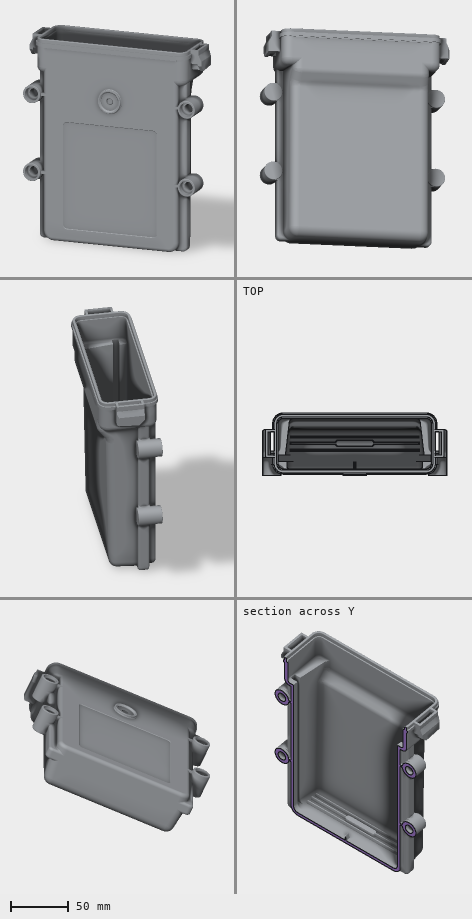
import cadquery as cq

height = 180.48
overall_width = 160.0
overall_depth = 54.44
boss_proud = 2.45
overlap = 1.0
bevel_share = 0.95

collar_half_width = 70.0
collar_depth = 50.8
collar_bottom_z = height - 31.0
collar_corner_radius = 8.0
collar_bottom_fillet = 5.5
lip_proud = overall_depth - boss_proud - collar_depth
lip_top_z = height - 3.4
lip_bottom_z = height - 6.6
strip_proud = 0.5
strip_bottom_z = height - 7.6
wall = 3.5
rim_wall = 2.3
rim_step_depth = 4.0
rim_edge_fillet = 0.6
collar_floor_fillet = 2.0

body_front_y = 10.0
body_top_z = height - 8.0
body_front_half_width = 64.3
body_back_half_width = 59.5
bulge_bottom_z = height - 37.0
slope_bottom_z = height - 47.0
body_back_y = 43.2
body_bottom_back_y = 40.7
body_back_fillet = 7.5
body_slope_fillet = 6.0

flange_half_width = 68.6
flange_front_y = 7.1
flange_back_y = 17.0
flange_corner_radius = 4.0
flange_edge_fillet = 2.1
panel_half_width = 62.2
panel_corner_radius = 8.5
panel_edge_fillet = 3.3
root_fillet = 1.0
cavity_front_fillet = 2.0
panel_top_z = height - 25.0
board_slot_half_width = 66.0
board_slot_front_y = 9.9
board_slot_back_y = 15.5

lug_radius = 8.0
lug_x = overall_width / 2 - lug_radius
lug_zs = (height - 119.9, height - 49.9)
lug_back_y = 18.7
lug_edge_fillet = 0.5
lug_counterbore_radius = 6.2
lug_counterbore_depth = 6.0
lug_hole_radius = 4.0
lug_hole_depth = 16.0
lug_rib_thickness = 2.2
lug_rib_inner_x = 58.5

boss_radius = 10.4
boss_base_radius = 11.1
boss_recess_radius = 8.0
boss_recess_depth = 2.0
boss_recess_chamfer = 1.2
boss_edge_fillet = 0.3
boss_z = lug_zs[1]
boss_hole_radius = 3.1
boss_pin_radius = 2.4
boss_hole_depth = 2.0
boss_pin_gap = 0.5

label_half_width = 43.6
label_bottom_z = height - 168.6
label_top_z = height - 72.2
label_corner_radius = 3.5
label_depth = 0.5

clip_front_y = 13.4
clip_back_y = 37.7
clip_web = 2.1
clip_inner_x = 72.9
clip_top_inner_x = 75.2
clip_top_x = 77.4
clip_hook_x = 77.0
clip_hip_z = height - 4.6
clip_knee_z = height - 9.8
clip_plate_bottom_z = height - 18.1
clip_hook_bottom_z = height - 19.4
clip_slant_drop = 1.4
clip_cut_y = 5.1
clip_cut_z = 5.5
clip_web_bottom_z = height - 12.3
clip_gusset_front_y = 16.7
clip_gusset_back_y = 19.0
clip_corner_chamfer = 1.5

floor_rib_ys = (19.7, 25.7, 31.2)
floor_rib_thickness = 2.0
rib_draft = 10.0
floor_rib_height = 3.0
pad_length = 34.0
pad_width = 6.0
post_width = 2.2
post_depth = 6.0
post_height = 5.0
post_embed = 2.0


def box(x0, x1, y0, y1, z0, z1):
    """Box between opposite corner coordinates."""
    return cq.Workplane("XY").box(x1 - x0, y1 - y0, z1 - z0, centered=False).translate((x0, y0, z0))


def centred_box(half_width, y0, y1, z0, z1):
    """Box symmetric about X = 0."""
    return box(-half_width, half_width, y0, y1, z0, z1)


def both_sides(shape):
    """The shape together with its mirror image across X = 0."""
    return shape.union(shape.mirror("YZ"))


def cylinder_y(radius, x, z, y0, y1):
    """Cylinder along Y between y0 and y1."""
    return cq.Workplane("XZ", origin=(x, y0, z)).circle(radius).extrude(y0 - y1)


def collar_block(inset, z0, z1):
    """Rounded block with the collar plan, shrunk by inset (negative grows)."""
    block = centred_box(collar_half_width - inset, inset, collar_depth - inset, z0, z1)
    return block.edges("|Z").fillet(collar_corner_radius - inset)


def rear_body(inset):
    """Tapered rear body, swelling out at the top to meet the back of the collar."""
    front = body_front_y
    side = (
        cq.Workplane("YZ")
        .moveTo(front, inset)
        .lineTo(body_bottom_back_y - inset, inset)
        .lineTo(body_back_y - inset, slope_bottom_z)
        .lineTo(collar_depth - inset, bulge_bottom_z)
        .lineTo(collar_depth - inset, body_top_z)
        .lineTo(front, body_top_z)
        .close()
        .extrude(collar_half_width, both=True)
    )
    plan = (
        cq.Workplane("XY")
        .moveTo(-body_front_half_width + inset, front)
        .lineTo(body_front_half_width - inset, front)
        .lineTo(body_back_half_width - inset, collar_depth)
        .lineTo(-body_back_half_width + inset, collar_depth)
        .close()
        .extrude(height)
    )
    slope_zone = cq.selectors.BoxSelector(
        (-collar_half_width, body_front_y + overlap, slope_bottom_z - overlap),
        (collar_half_width, collar_depth + overlap, bulge_bottom_z + overlap),
    )
    rounded_zone = cq.selectors.BoxSelector(
        (-collar_half_width, body_front_y + overlap, -overlap),
        (collar_half_width, collar_depth + overlap, body_top_z - overlap),
    )
    body = side.edges("|X").edges(slope_zone).fillet(body_slope_fillet).intersect(plan)
    return body.edges(rounded_zone).fillet(body_back_fillet - inset)


def front_panel():
    """Slab carrying the flat front face, rounded along its sides and bottom."""
    slab = centred_box(panel_half_width, 0, body_front_y + overlap, 0, panel_top_z)
    slab = slab.edges("|Y and <Z").fillet(panel_corner_radius)
    return slab.edges("<Y").edges("not >Z").fillet(panel_edge_fillet)


def side_flange():
    """Wide plate that sticks out past the front panel on both sides."""
    plate = centred_box(flange_half_width, flange_front_y, flange_back_y, 0, panel_top_z)
    plate = plate.edges("|Y and <Z").fillet(flange_corner_radius)
    return plate.faces("<Y or >Y").edges("not >Z").fillet(flange_edge_fillet)


def collar():
    """Open-top collar with its sealing lip, gapped inside the clips, and the strip under the lip."""
    body = collar_block(0, collar_bottom_z, height).faces("<Z").edges().fillet(collar_bottom_fillet)
    lip = collar_block(-lip_proud, lip_bottom_z, lip_top_z)
    strip_half_width = collar_half_width - collar_corner_radius
    strip = centred_box(strip_half_width, -strip_proud, collar_depth + strip_proud, strip_bottom_z, lip_top_z)
    gap_front_y = clip_front_y + clip_web
    gap_back_y = clip_back_y - clip_web
    lip_gap = box(collar_half_width, overall_width / 2, gap_front_y, gap_back_y, lip_bottom_z, lip_top_z)
    return body.union(lip).cut(both_sides(lip_gap)).union(strip)


def cavity():
    """Hollow of the case: stepped rim, collar, front half, board slot and rear body."""
    rim = collar_block(rim_wall, height - rim_step_depth, height)
    throat = collar_block(wall, collar_bottom_z + wall, height)
    throat = throat.faces("<Z").edges().fillet(collar_floor_fillet)
    front = centred_box(panel_half_width - wall, wall, body_front_y + overlap, wall, panel_top_z)
    front = front.edges("|Y and <Z").fillet(panel_corner_radius - wall)
    slot = centred_box(board_slot_half_width, board_slot_front_y, board_slot_back_y, wall, panel_top_z)
    front = front.faces("<Y").edges("not >Z").fillet(cavity_front_fillet)
    return rim.union(throat).union(front).union(slot).union(rear_body(wall))


def drafted(outline, rib_height):
    """Raise a rib from its base outline with sloping sides."""
    return outline.extrude(rib_height, taper=rib_draft)


def floor_ribs():
    """Low ribs across the cavity floor, a rounded pad on the middle one and a post at the front wall."""
    rib_length = 2 * (body_back_half_width - wall)
    post_middle_y = wall + (post_depth - post_embed) / 2
    post_floor = cq.Workplane("XY", origin=(0, post_middle_y, wall))
    ribs = drafted(post_floor.rect(post_width, post_depth + post_embed), post_height)
    for y in floor_rib_ys:
        rib_floor = cq.Workplane("XY", origin=(0, y, wall))
        ribs = ribs.union(drafted(rib_floor.rect(rib_length, floor_rib_thickness), floor_rib_height))
    pad_floor = cq.Workplane("XY", origin=(0, floor_rib_ys[1], wall))
    return ribs.union(drafted(pad_floor.slot2D(pad_length, pad_width), floor_rib_height))


def lug(z):
    """Screw lug on the +X side: barrel, web to the flange and rib to the front panel."""
    barrel = cylinder_y(lug_radius, lug_x, z, -boss_proud, lug_back_y)
    barrel = barrel.edges("%CIRCLE").fillet(lug_edge_fillet)
    web_x = flange_half_width - flange_edge_fillet
    web = box(web_x, lug_x, flange_front_y, flange_back_y, z - lug_radius, z + lug_radius)
    half = lug_rib_thickness / 2
    rib = box(lug_rib_inner_x, lug_x, 0, flange_front_y + overlap, z - half, z + half)
    return barrel.union(web).union(rib)


def lug_bore(z):
    """Stepped blind bore of a lug, open at the front."""
    counterbore_end_y = lug_counterbore_depth - boss_proud
    counterbore = cylinder_y(lug_counterbore_radius, lug_x, z, -boss_proud, counterbore_end_y)
    hole = cylinder_y(lug_hole_radius, lug_x, z, -boss_proud, lug_hole_depth - boss_proud)
    return counterbore.union(hole)


def front_boss():
    """Round boss with a flared foot and a shallow recess with a bevelled mouth."""
    recess_y = boss_recess_depth - boss_proud
    flare = boss_base_radius - boss_radius
    recess = cylinder_y(boss_recess_radius, 0, boss_z, -boss_proud, recess_y)
    boss = cylinder_y(boss_radius, 0, boss_z, -boss_proud, wall / 2).cut(recess)
    boss = boss.edges(cq.selectors.RadiusNthSelector(0)).edges("<Y").chamfer(boss_recess_chamfer)
    boss = boss.faces("<Y").edges(cq.selectors.RadiusNthSelector(-1)).fillet(boss_edge_fillet)
    foot = cylinder_y(boss_base_radius, 0, boss_z, -flare, wall / 2)
    foot = foot.faces("<Y").edges().chamfer(flare * bevel_share)
    return boss.union(foot.cut(recess))


def front_boss_hole():
    """Blind hole in the boss recess that leaves a slightly sunken centre pin."""
    recess_y = boss_recess_depth - boss_proud
    end_y = recess_y + boss_hole_depth
    hole = cylinder_y(boss_hole_radius, 0, boss_z, recess_y, end_y)
    return hole.cut(cylinder_y(boss_pin_radius, 0, boss_z, recess_y + boss_pin_gap, end_y))


def clip():
    """Bracket on the +X side: an outer hooked plate held off the collar by two webs."""
    outline = (
        cq.Workplane("XZ", origin=(0, clip_front_y, 0))
        .moveTo(clip_top_inner_x, height)
        .lineTo(clip_top_x, height)
        .lineTo(clip_top_x, clip_hip_z)
        .lineTo(overall_width / 2, clip_knee_z)
        .lineTo(overall_width / 2, clip_hook_bottom_z)
        .lineTo(clip_hook_x, clip_hook_bottom_z)
        .lineTo(clip_hook_x, clip_plate_bottom_z)
        .lineTo(clip_inner_x, clip_plate_bottom_z)
        .lineTo(clip_inner_x, clip_knee_z)
        .close()
    )
    plate = outline.extrude(clip_front_y - clip_back_y)
    plate = plate.edges("|Z and >X and >Y").chamfer(clip_corner_chamfer)
    root_x = collar_half_width - overlap
    web_back_y = clip_front_y + clip_web
    front_web = box(root_x, clip_top_x, clip_front_y, web_back_y, clip_web_bottom_z, height)
    back_web = box(root_x, clip_top_x, clip_back_y - clip_web, clip_back_y, clip_plate_bottom_z, height)
    gusset = box(
        root_x, clip_hook_x, clip_gusset_front_y, clip_gusset_back_y, clip_plate_bottom_z, clip_web_bottom_z
    )
    lower_corner = (
        cq.Workplane("YZ")
        .moveTo(clip_front_y, clip_hook_bottom_z + clip_cut_z)
        .lineTo(clip_front_y + clip_cut_y, clip_hook_bottom_z)
        .lineTo(clip_back_y, clip_hook_bottom_z + clip_slant_drop)
        .lineTo(clip_back_y, clip_hook_bottom_z - overlap)
        .lineTo(clip_front_y, clip_hook_bottom_z - overlap)
        .close()
        .extrude(overall_width)
    )
    hook_relief = box(
        root_x, clip_hook_x, clip_front_y, clip_gusset_front_y, clip_hook_bottom_z, clip_web_bottom_z
    )
    return plate.cut(lower_corner).cut(hook_relief).union(front_web).union(gusset).union(back_web)


def label_recess():
    """Shallow rounded recess with bevelled sides."""
    pocket = centred_box(label_half_width, 0, label_depth, label_bottom_z, label_top_z)
    pocket = pocket.edges("|Y").fillet(label_corner_radius)
    return pocket.faces(">Y").edges().chamfer(label_depth * bevel_share)


def root_edges(shape, half_width, y):
    """Upright inner corner edges on both sides at the given half width and depth."""
    reach = root_fillet / 4
    upright = shape.edges("|Z")
    left, right = (
        cq.selectors.BoxSelector((x - reach, y - reach, 0), (x + reach, y + reach, panel_top_z))
        for x in (-half_width, half_width)
    )
    return upright.edges(left + right)


def body_shell():
    """Solid outer shape of flange, front panel and rear body, with rounded inner corners."""
    shell = side_flange().union(front_panel())
    shell = root_edges(shell, panel_half_width, flange_front_y).fillet(root_fillet)
    shell = shell.union(rear_body(0))
    side_slope = (body_front_half_width - body_back_half_width) / (collar_depth - body_front_y)
    rear_root_half_width = body_front_half_width - side_slope * (flange_back_y - body_front_y)
    return root_edges(shell, rear_root_half_width, flange_back_y).fillet(root_fillet)


case = collar().union(body_shell())
for lug_z in lug_zs:
    case = case.union(both_sides(lug(lug_z)))
case = case.union(front_boss()).cut(cavity())
case = case.faces(">Z").edges().fillet(rim_edge_fillet)
case = case.union(both_sides(clip())).union(floor_ribs())
for lug_z in lug_zs:
    case = case.cut(both_sides(lug_bore(lug_z)))
result = case.cut(label_recess()).cut(front_boss_hole())